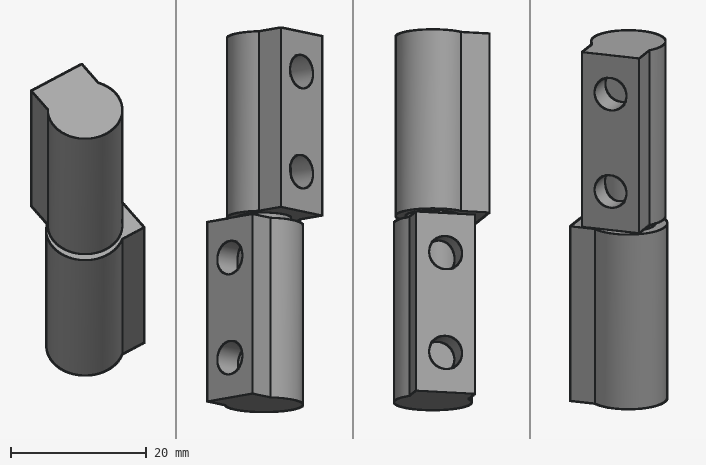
import cadquery as cq

total_height = 55.0
leaf_gap = 1.1
leaf_height = (total_height - leaf_gap) / 2
upper_leaf_base = leaf_height + leaf_gap

lower_barrel_diameter = 11.5
upper_barrel_diameter = 11.0
block_width = 9.0
block_reach = 7.5

hole_diameter = 5.0
hole_depth = 4.5
hole_offsets = (6.0, 21.0)

pin_diameter = 8.0
pin_insertion = 15.0


def make_leaf(barrel_diameter):
    """Leaf with its pin end at Z = 0, outer end up and mounting face toward -X."""
    barrel = cq.Workplane("XY").circle(barrel_diameter / 2).extrude(leaf_height)
    block = cq.Workplane("XY").box(
        block_reach, block_width, leaf_height, centered=(False, True, False)
    ).translate((-block_reach, 0, 0))
    leaf = barrel.union(block)

    leaf = leaf.cut(cq.Workplane("XY").circle(pin_diameter / 2).extrude(pin_insertion))

    for offset in hole_offsets:
        hole = (
            cq.Workplane("YZ", origin=(-block_reach, 0, leaf_height - offset))
            .circle(hole_diameter / 2)
            .extrude(hole_depth)
        )
        leaf = leaf.cut(hole)
    return leaf


def make_pin():
    """Plain pin spanning the gap and reaching equally into both leaves."""
    return (
        cq.Workplane("XY", origin=(0, 0, leaf_height - pin_insertion))
        .circle(pin_diameter / 2)
        .extrude(leaf_gap + 2 * pin_insertion)
    )


upper_leaf = make_leaf(upper_barrel_diameter).translate((0, 0, upper_leaf_base))

lower_leaf = (
    make_leaf(lower_barrel_diameter)
    .rotate((0, 0, 0), (1, 0, 0), 180)
    .rotate((0, 0, 0), (0, 0, 1), -90)
    .translate((0, 0, leaf_height))
)

pin = make_pin()

result = cq.Compound.makeCompound([upper_leaf.val(), lower_leaf.val(), pin.val()])